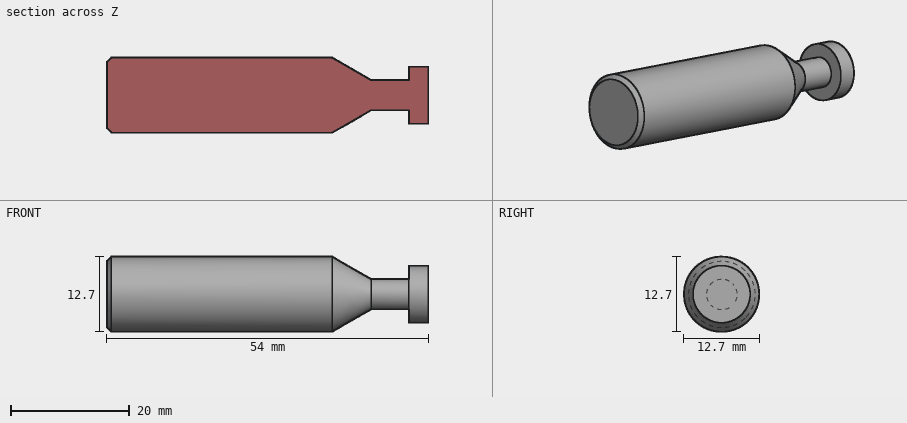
import cadquery as cq
import math

total_length = 54.0
body_diameter = 12.7
body_chamfer = 0.75
neck_diameter = 5.15
neck_length = 6.35
head_diameter = 9.6
head_length = 3.25
taper_half_angle = 30.0

body_radius = body_diameter / 2
neck_radius = neck_diameter / 2
head_radius = head_diameter / 2

head_start = total_length - head_length
taper_end = head_start - neck_length
taper_length = (body_radius - neck_radius) / math.tan(math.radians(taper_half_angle))
body_end = taper_end - taper_length

profile = (
    cq.Workplane("XY")
    .moveTo(0, 0)
    .lineTo(0, body_radius - body_chamfer)
    .lineTo(body_chamfer, body_radius)
    .lineTo(body_end, body_radius)
    .lineTo(taper_end, neck_radius)
    .lineTo(head_start, neck_radius)
    .lineTo(head_start, head_radius)
    .lineTo(total_length, head_radius)
    .lineTo(total_length, 0)
    .close()
)

result = profile.revolve(360, (0, 0, 0), (1, 0, 0))